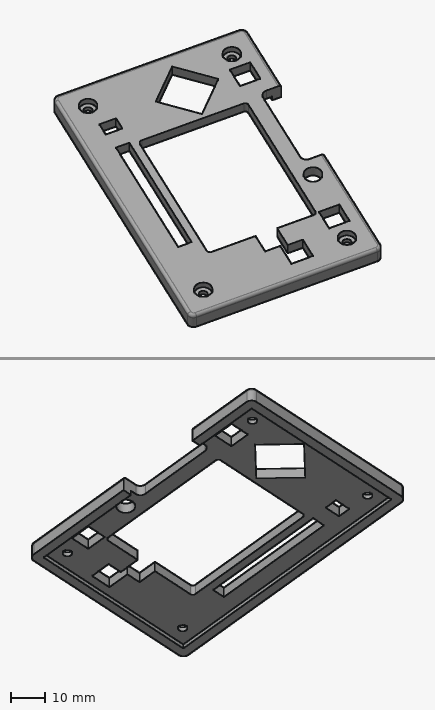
import cadquery as cq

LENGTH = 93.7
WIDTH = 62.1
HEIGHT = 5.3
CORNER_RADIUS = 2.0
TOP_EDGE_RADIUS = 1.0

CUT_HEIGHT = 3 * HEIGHT

RECESS_DEPTH = 1.6
RIM_THICKNESS = 3.0

SCREW_SPACING_X = 78.0
SCREW_SPACING_Y = 46.3
SCREW_DIAMETER = 2.7
SCREW_HEAD_DIAMETER = 5.4
SCREW_HEAD_DEPTH = 2.2

NOTCH_WIDTH = 29.1
NOTCH_DEPTH = 6.8
NOTCH_CENTER_X = -7.5
NOTCH_RADIUS = 2.0

DISPLAY_LENGTH = 47.3
DISPLAY_WIDTH = 35.0
DISPLAY_CENTER = (3.3, 1.7)
DISPLAY_RADIUS = 1.0

ROUND_HOLE_DIAMETER = 5.5
ROUND_HOLE_CENTER = (12.8, 24.65)

DIAMOND_SIDE = 14.2
DIAMOND_CENTER = (-32.05, 5.4)

SHOULDER_LENGTH = 6.9
SHOULDER_WIDTH = 6.6
SHOULDER_CENTERS = [(-30.4, 23.3), (30.0, 23.3)]

BUTTON_SIDE = 6.9
BUTTON_A_CENTER = (37.6, 7.8)
BUTTON_B_CENTER = (30.0, 2.9)

SWITCH_LENGTH = 4.3
SWITCH_WIDTH = 5.3
SWITCH_CENTER = (-29.1, -20.5)
SLOT_LENGTH = 42.2
SLOT_WIDTH = 4.3
SLOT_CENTER = (0.0, -20.5)


def block(length, width, center):
    """Box taller than needed, used to cut straight through the cover."""
    return cq.Workplane("XY").box(length, width, CUT_HEIGHT).translate((*center, 0))


def block_between(x_min, x_max, y_min, y_max):
    """Through-cutting box given by its limits in X and Y."""
    center = ((x_min + x_max) / 2, (y_min + y_max) / 2)
    return block(x_max - x_min, y_max - y_min, center)


def make_cover():
    """Rounded plate with a rim around its recessed underside."""
    cover = (
        cq.Workplane("XY")
        .box(LENGTH, WIDTH, HEIGHT, centered=(True, True, False))
        .edges("|Z").fillet(CORNER_RADIUS)
        .faces(">Z").edges().fillet(TOP_EDGE_RADIUS)
    )
    recess = (
        cq.Workplane("XY")
        .rect(LENGTH - 2 * RIM_THICKNESS, WIDTH - 2 * RIM_THICKNESS)
        .extrude(RECESS_DEPTH)
    )
    return cover.cut(recess)


def cut_screw_holes(cover):
    """Four through holes with head recesses in the top face."""
    return (
        cover.faces(">Z").workplane(origin=(0, 0, HEIGHT))
        .rect(SCREW_SPACING_X, SCREW_SPACING_Y, forConstruction=True)
        .vertices()
        .cboreHole(SCREW_DIAMETER, SCREW_HEAD_DIAMETER, SCREW_HEAD_DEPTH)
    )


def make_notch():
    """Cutter reaching past the back edge, with its two inner corners rounded."""
    center_y = WIDTH / 2
    notch = block(NOTCH_WIDTH, 2 * NOTCH_DEPTH, (NOTCH_CENTER_X, center_y))
    return notch.edges("|Z").edges("<Y").fillet(NOTCH_RADIUS)


def make_button_openings():
    """The two button squares and the passage that joins them."""
    half = BUTTON_SIDE / 2
    a_x, a_y = BUTTON_A_CENTER
    b_x, b_y = BUTTON_B_CENTER
    display_right = DISPLAY_CENTER[0] + DISPLAY_LENGTH / 2
    button_a = block(BUTTON_SIDE, BUTTON_SIDE, BUTTON_A_CENTER)
    button_b = block_between(display_right - half, b_x + half, b_y - half, b_y + half)
    passage = block_between(b_x, a_x, a_y - half, b_y + half)
    return button_a.union(button_b).union(passage)


def make_openings():
    """All cutters that pass through the full thickness."""
    display = block(DISPLAY_LENGTH, DISPLAY_WIDTH, DISPLAY_CENTER)
    diamond = cq.Workplane("XY").box(DIAMOND_SIDE, DIAMOND_SIDE, CUT_HEIGHT)
    round_hole = cq.Workplane("XY").circle(ROUND_HOLE_DIAMETER / 2).extrude(CUT_HEIGHT)
    openings = [
        display.edges("|Z").fillet(DISPLAY_RADIUS),
        diamond.rotate((0, 0, 0), (0, 0, 1), 45).translate((*DIAMOND_CENTER, 0)),
        round_hole.translate((*ROUND_HOLE_CENTER, 0)),
        block(SWITCH_LENGTH, SWITCH_WIDTH, SWITCH_CENTER),
        block(SLOT_LENGTH, SLOT_WIDTH, SLOT_CENTER),
        make_button_openings(),
        make_notch(),
    ]
    for center in SHOULDER_CENTERS:
        openings.append(block(SHOULDER_LENGTH, SHOULDER_WIDTH, center))
    return openings


result = cut_screw_holes(make_cover())
for opening in make_openings():
    result = result.cut(opening)